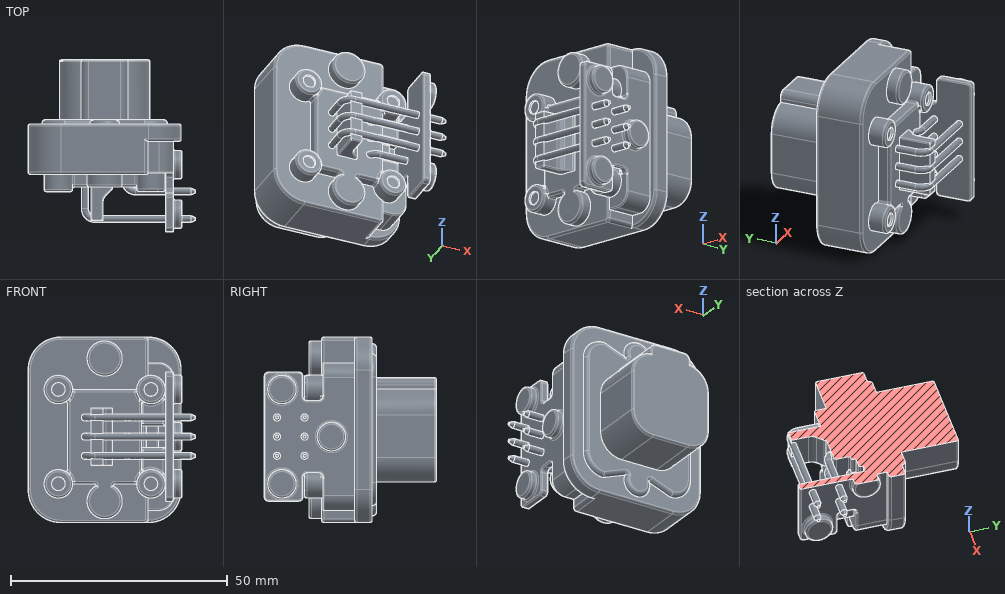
import cadquery as cq
import math


HOUSING_WIDTH = 35.3
HOUSING_HEIGHT = 42.8
HOUSING_DEPTH = 11.68
HOUSING_CORNER = 7.6
HOUSING_EDGE = 0.55
FLANGE_REAR_Y = 7.64
STEP_X = 10.0
STEP_CORNER = 0.87

PIN_CENTRE_Z = -1.57

SIDE_FACE_X = 15.87
SIDE_START_X = 5.0
SIDE_REAR_Y = 0.3
SIDE_HALF_HEIGHT = 17.0
SIDE_CORNER = 3.4
SIDE_EDGE = 0.3

PAD_REAR_Y = -2.9
PAD_HALF_WIDTH = 8.53
PAD_HALF_HEIGHT = 10.87
PAD_EDGE = 0.55
NECK_HALF_WIDTH = 1.97
NECK_CORNER = 0.45
PEG_Z = 16.44
PEG_RADIUS = 4.05
PEG_EDGE = 0.5

BUTTON_X = 10.67
BUTTON_Z = 10.87
BUTTON_RADIUS = 3.28
BUTTON_REAR_Y = -3.97
SIDE_BUTTON_SETBACK = 0.09
BUTTON_EDGE = 0.5
DIMPLE_RADIUS = 1.57
DIMPLE_DEPTH = 0.5
BUTTON_JOINT = 0.55
BUTTON_CORNER = 0.45

PLATE_THICKNESS = 1.9
PLATE_INNER_X = SIDE_FACE_X - PLATE_THICKNESS
PLATE_REAR_Y = -13.22
PLATE_FRONT_Y = -4.29
PLATE_HALF_HEIGHT = 14.9
PLATE_CORNER = 1.03
PLATE_EDGE = 0.28
PLATE_NECK_HALF_HEIGHT = 8.3
PLATE_FOOT_HALF_HEIGHT = 9.7

SHELF_HALF_HEIGHT = PLATE_NECK_HALF_HEIGHT + PLATE_CORNER
SHELF_JOINT = 0.45
SHELF_RELIEF = 0.57
SLOT_HALF_HEIGHT = 2.48
SLOT_EDGE = 0.6
SLOT_FIRST_STEP_X = 9.7
SLOT_SECOND_STEP_X = 12.45
SLOT_STEP_DEPTH = 1.0
SLOT_STEP_EDGE = 0.33

DISC_RADIUS = 3.28
DISC_END_X = 17.82
DISC_EDGE = 0.45
DISC_BASE_FLARE = 0.4
DISC_SINK = 0.5
PLATE_DISC_Y = -9.13
SIDE_DISC_Y = 2.28

OVERALL_WIDTH = 38.57
PIN_RADIUS = 0.81
PIN_PITCH = 4.42
PIN_BEND = 2.4
PIN_END_X = OVERALL_WIDTH - HOUSING_WIDTH / 2
PIN_TIP_LENGTH = 1.07
PIN_TIP_RADIUS = 0.35
OUTER_ROW_X = -4.57
OUTER_ROW_Y = -10.24
INNER_ROW_X = 4.75
INNER_ROW_Y = -3.9

GUIDE_LEFT_X = -3.16
GUIDE_RIGHT_X = -0.38
GUIDE_FOOT_X = 1.8
GUIDE_REAR_Y = -10.62
GUIDE_FOOT_DEPTH = 0.4
GUIDE_FOOT_ROUND = 0.5
GUIDE_BEND = 2.4
GUIDE_HALF_HEIGHT = 6.64
GUIDE_EDGE = 0.25

RIM_FRONT_Y = 12.7
RIM_HALF_WIDTH = 14.5
RIM_SIDE_Z = 12.2
RIM_SHOULDER = 5.3
RIM_WAIST_X = 3.2
RIM_LOBE_RADIUS = 3.43
SOCKET_FRONT_Y = 26.46
SOCKET_HALF_WIDTH = 10.43
SOCKET_HALF_HEIGHT = 12.05
SOCKET_SHOULDER = 6.0
SOCKET_SHOULDER_Z = 3.47
SOCKET_LOWER_CORNER = 5.63
SOCKET_EDGE = 0.45
KEY_HALF_WIDTH = 5.4
KEY_CORNER = 1.7

ARC_INSET = 1 - math.sqrt(0.5)
BURY = 1.0
SELECT_GAP = 0.1


def sketch_at(y):
    """Workplane facing -Y at the given Y, with local axes X and Z."""
    return cq.Workplane("XZ", origin=(0, y, 0))


def cylinder_y(x, z, radius, rear_y, front_y):
    return sketch_at(front_y).center(x, z).circle(radius).extrude(front_y - rear_y)


def box_around(x, z, half_size):
    """Selects whatever is centred near the given X and Z, at any Y."""
    return cq.selectors.BoxSelector(
        (x - half_size - SELECT_GAP, -HOUSING_HEIGHT, z - half_size - SELECT_GAP),
        (x + half_size + SELECT_GAP, HOUSING_HEIGHT, z + half_size + SELECT_GAP),
    )


def block(x_min, x_max, z_centre, half_height, rear_y, front_y):
    width = x_max - x_min
    plane = sketch_at(front_y).center((x_min + x_max) / 2, z_centre)
    return plane.rect(width, 2 * half_height).extrude(front_y - rear_y)


def make_housing():
    half_width = HOUSING_WIDTH / 2
    half_height = HOUSING_HEIGHT / 2
    flange = block(-half_width, half_width, 0, half_height, FLANGE_REAR_Y, HOUSING_DEPTH)
    flange = flange.edges("|Y").fillet(HOUSING_CORNER).faces("<Y or >Y").edges().fillet(HOUSING_EDGE)
    main = block(-half_width, STEP_X, 0, half_height, 0, HOUSING_DEPTH - HOUSING_EDGE)
    main = main.edges("|Y and <X").fillet(HOUSING_CORNER).edges("|Y and >X").fillet(STEP_CORNER)
    main = main.faces("<Y").edges().fillet(HOUSING_EDGE)
    side = block(
        SIDE_START_X, SIDE_FACE_X, PIN_CENTRE_Z, SIDE_HALF_HEIGHT, SIDE_REAR_Y, FLANGE_REAR_Y + HOUSING_EDGE
    )
    side = side.edges("|Y and >X").fillet(SIDE_CORNER).faces("<Y").edges().fillet(SIDE_EDGE)
    return flange.union(main).union(side)


def button_places():
    """X and Z of the four buttons."""
    return [(x, PIN_CENTRE_Z + dz) for x in (-BUTTON_X, BUTTON_X) for dz in (-BUTTON_Z, BUTTON_Z)]


def make_pad():
    """Raised pad whose outline runs smoothly into the four buttons and the neck."""
    pad = block(-PAD_HALF_WIDTH, PAD_HALF_WIDTH, PIN_CENTRE_Z, PAD_HALF_HEIGHT, PAD_REAR_Y, BURY)
    neck = block(-NECK_HALF_WIDTH, NECK_HALF_WIDTH, -PEG_Z / 2, PEG_Z / 2, PAD_REAR_Y, BURY)
    pad = pad.union(neck)
    pad_bottom = PIN_CENTRE_Z - PAD_HALF_HEIGHT
    neck_root = box_around(0, pad_bottom, NECK_HALF_WIDTH)
    pad = pad.edges("|Y").edges(neck_root).fillet(NECK_CORNER)
    for x, z in button_places():
        pad = pad.union(cylinder_y(x, z, BUTTON_RADIUS, PAD_REAR_Y, BURY))
        pad = pad.edges("|Y").edges(box_around(x, z, BUTTON_RADIUS)).fillet(BUTTON_CORNER)
    pad = pad.union(cylinder_y(0, -PEG_Z, PEG_RADIUS, PAD_REAR_Y, BURY))
    pad = pad.faces("<Y").edges().fillet(PAD_EDGE)
    upper_peg = cylinder_y(0, PEG_Z, PEG_RADIUS, PAD_REAR_Y, BURY)
    return pad.union(upper_peg.faces("<Y").edges().fillet(PEG_EDGE))


def button_flare(x, z, floor_y):
    """Concave ring that blends a button into a surface at floor_y."""
    outer = BUTTON_RADIUS + BUTTON_JOINT
    inset = BUTTON_JOINT * ARC_INSET
    profile = (
        cq.Workplane("XY")
        .moveTo(BUTTON_RADIUS / 2, floor_y)
        .lineTo(outer, floor_y)
        .threePointArc((BUTTON_RADIUS + inset, floor_y - inset), (BUTTON_RADIUS, floor_y - BUTTON_JOINT))
        .lineTo(BUTTON_RADIUS / 2, floor_y - BUTTON_JOINT)
        .close()
    )
    return profile.revolve(360, (0, 0, 0), (0, 1, 0)).translate((x, 0, z))


def make_buttons():
    """Buttons with a shallow dimple, blended into the pad and the shelf."""
    pad_top = block(
        -PAD_HALF_WIDTH + PAD_EDGE, PAD_HALF_WIDTH - PAD_EDGE,
        PIN_CENTRE_Z, PAD_HALF_HEIGHT - PAD_EDGE, BUTTON_REAR_Y, 0,
    )
    shelf_top = block(
        PAD_HALF_WIDTH, PLATE_INNER_X,
        PIN_CENTRE_Z, SHELF_HALF_HEIGHT, BUTTON_REAR_Y, SIDE_REAR_Y,
    )
    buttons = cq.Workplane()
    for x, z in button_places():
        rear_y = BUTTON_REAR_Y + (SIDE_BUTTON_SETBACK if x > 0 else 0)
        button = cylinder_y(x, z, BUTTON_RADIUS, rear_y, BURY)
        button = button.faces("<Y").edges().fillet(BUTTON_EDGE)
        dimple = cylinder_y(x, z, DIMPLE_RADIUS, rear_y, rear_y + DIMPLE_DEPTH)
        pad_joint = button_flare(x, z, PAD_REAR_Y).intersect(pad_top)
        button = button.union(pad_joint)
        if x > 0:
            button = button.union(button_flare(x, z, SIDE_REAR_Y).intersect(shelf_top))
        buttons = buttons.union(button.cut(dimple))
    return buttons


def cut_shelf(part):
    """Trim the housing flush with the side block beside the pad, with a rounded relief along the plate."""
    left = PAD_HALF_WIDTH
    right = PLATE_INNER_X
    floor = SIDE_REAR_Y
    joint_inset = SHELF_JOINT * ARC_INSET
    relief_inset = SHELF_RELIEF * ARC_INSET
    waste = (
        cq.Workplane("XY", origin=(0, 0, PIN_CENTRE_Z))
        .moveTo(left, floor - SHELF_JOINT)
        .threePointArc((left + joint_inset, floor - joint_inset), (left + SHELF_JOINT, floor))
        .lineTo(right - SHELF_RELIEF, floor)
        .threePointArc((right - relief_inset, floor + relief_inset), (right, floor + SHELF_RELIEF))
        .lineTo(right, floor - SHELF_JOINT)
        .close()
        .extrude(SHELF_HALF_HEIGHT, both=True)
    )
    return part.cut(waste)


def cut_slot(part):
    """Stepped slot across the shelf, with rounded mouth edges."""
    wall = SLOT_HALF_HEIGHT
    mouth = SLOT_HALF_HEIGHT + SLOT_EDGE
    floor = SIDE_REAR_Y
    tread_1 = floor + SLOT_EDGE
    tread_2 = tread_1 + SLOT_STEP_DEPTH
    tread_3 = tread_2 + SLOT_STEP_DEPTH
    mouth_inset = SLOT_EDGE * ARC_INSET
    opening = (
        cq.Workplane("YZ", origin=(PAD_HALF_WIDTH, 0, PIN_CENTRE_Z))
        .moveTo(tread_1, -wall)
        .threePointArc((floor + mouth_inset, -wall - mouth_inset), (floor, -mouth))
        .lineTo(floor - SHELF_JOINT, -mouth)
        .lineTo(floor - SHELF_JOINT, mouth)
        .lineTo(floor, mouth)
        .threePointArc((floor + mouth_inset, wall + mouth_inset), (tread_1, wall))
        .close()
        .extrude(PLATE_INNER_X - PAD_HALF_WIDTH)
    )
    step_inset = SLOT_STEP_EDGE * ARC_INSET
    step_1 = SLOT_FIRST_STEP_X
    step_2 = SLOT_SECOND_STEP_X
    stairs = (
        cq.Workplane("XY", origin=(0, 0, PIN_CENTRE_Z))
        .moveTo(step_1 - SLOT_STEP_EDGE, tread_1)
        .threePointArc((step_1 - step_inset, tread_1 + step_inset), (step_1, tread_1 + SLOT_STEP_EDGE))
        .lineTo(step_1, tread_2)
        .lineTo(step_2 - SLOT_STEP_EDGE, tread_2)
        .threePointArc((step_2 - step_inset, tread_2 + step_inset), (step_2, tread_2 + SLOT_STEP_EDGE))
        .lineTo(step_2, tread_3)
        .lineTo(PLATE_INNER_X, tread_3)
        .lineTo(PLATE_INNER_X, tread_1)
        .close()
        .extrude(SLOT_HALF_HEIGHT, both=True)
    )
    left = PAD_HALF_WIDTH
    joint_inset = SHELF_JOINT * ARC_INSET
    joint = (
        cq.Workplane("XY", origin=(0, 0, PIN_CENTRE_Z))
        .moveTo(left, tread_1 - SHELF_JOINT)
        .threePointArc((left + joint_inset, tread_1 - joint_inset), (left + SHELF_JOINT, tread_1))
        .lineTo(left, tread_1)
        .close()
        .extrude(SLOT_HALF_HEIGHT, both=True)
    )
    return part.cut(opening).cut(stairs).union(joint)


def plate_slab(rear_y, front_y, half_height):
    return block(PLATE_INNER_X, SIDE_FACE_X, PIN_CENTRE_Z, half_height, rear_y, front_y)


def make_plate():
    """Bracket plate standing on a neck that flares out where it meets the side block."""
    wide = plate_slab(PLATE_REAR_Y, PLATE_FRONT_Y, PLATE_HALF_HEIGHT).edges("|X").fillet(PLATE_CORNER)
    neck = plate_slab(PLATE_FRONT_Y, SIDE_REAR_Y, PLATE_NECK_HALF_HEIGHT)
    foot = plate_slab(SIDE_REAR_Y, SIDE_REAR_Y + BURY, PLATE_FOOT_HALF_HEIGHT)
    plate_middle_x = (PLATE_INNER_X + SIDE_FACE_X) / 2
    plate = wide.union(neck).union(foot)
    for side in (-1, 1):
        neck_side = box_around(plate_middle_x, PIN_CENTRE_Z + side * PLATE_NECK_HALF_HEIGHT, 0)
        plate = plate.edges("|X").edges(neck_side).fillet(PLATE_CORNER)
    return plate.faces("<X or >X").edges().fillet(PLATE_EDGE)


def make_disc(y, z, base_x):
    """Round disc facing +X with a rounded rim and a flared base."""
    flare = DISC_BASE_FLARE
    inset = flare * ARC_INSET
    outer_inset = DISC_EDGE * ARC_INSET
    profile = (
        cq.Workplane("XY")
        .moveTo(base_x - DISC_SINK, 0)
        .lineTo(DISC_END_X, 0)
        .lineTo(DISC_END_X, DISC_RADIUS - DISC_EDGE)
        .threePointArc(
            (DISC_END_X - outer_inset, DISC_RADIUS - outer_inset), (DISC_END_X - DISC_EDGE, DISC_RADIUS)
        )
        .lineTo(base_x + flare, DISC_RADIUS)
        .threePointArc((base_x + inset, DISC_RADIUS + inset), (base_x, DISC_RADIUS + flare))
        .lineTo(base_x - DISC_SINK, DISC_RADIUS + flare)
        .close()
    )
    return profile.revolve(360, (0, 0, 0), (1, 0, 0)).translate((0, y, z))


def make_discs():
    discs = make_disc(SIDE_DISC_Y, PIN_CENTRE_Z, SIDE_FACE_X)
    for side in (-1, 1):
        discs = discs.union(make_disc(PLATE_DISC_Y, PIN_CENTRE_Z + side * BUTTON_Z, SIDE_FACE_X))
    return discs


def make_pin(x, y, z):
    """Pin that leaves the housing along -Y at x, bends, and runs along +X at y to a tapered tip."""
    inset = PIN_BEND * ARC_INSET
    shank_end_x = PIN_END_X - PIN_TIP_LENGTH
    path = (
        cq.Workplane("XY", origin=(0, 0, z))
        .moveTo(x, 0)
        .lineTo(x, y + PIN_BEND)
        .threePointArc((x + inset, y + inset), (x + PIN_BEND, y))
        .lineTo(shank_end_x, y)
    )
    shank = cq.Workplane("XZ", origin=(x, 0, z)).circle(PIN_RADIUS).sweep(path)
    tip = cq.Solid.makeCone(
        PIN_RADIUS, PIN_TIP_RADIUS, PIN_TIP_LENGTH, cq.Vector(shank_end_x, y, z), cq.Vector(1, 0, 0)
    )
    return shank.union(cq.Workplane(tip))


def make_pins():
    pins = cq.Workplane()
    for x, y in ((OUTER_ROW_X, OUTER_ROW_Y), (INNER_ROW_X, INNER_ROW_Y)):
        for row in (-1, 0, 1):
            pins = pins.union(make_pin(x, y, PIN_CENTRE_Z + row * PIN_PITCH))
    return pins


def make_guide():
    """Wall that carries the outer pins, braced by a 45 degree gusset."""
    foot_y = PAD_REAR_Y - GUIDE_FOOT_DEPTH
    gusset_y = foot_y - (GUIDE_FOOT_X - GUIDE_RIGHT_X)
    guide = (
        cq.Workplane("XY", origin=(0, 0, PIN_CENTRE_Z))
        .moveTo(GUIDE_LEFT_X, 0)
        .lineTo(GUIDE_LEFT_X, GUIDE_REAR_Y)
        .lineTo(GUIDE_RIGHT_X, GUIDE_REAR_Y)
        .lineTo(GUIDE_RIGHT_X, gusset_y)
        .lineTo(GUIDE_FOOT_X, foot_y)
        .lineTo(GUIDE_FOOT_X, 0)
        .close()
        .extrude(GUIDE_HALF_HEIGHT, both=True)
    )
    bend = cq.NearestToPointSelector((GUIDE_RIGHT_X, gusset_y, PIN_CENTRE_Z))
    guide = guide.edges(bend).fillet(GUIDE_BEND)
    foot = cq.NearestToPointSelector((GUIDE_FOOT_X, foot_y, PIN_CENTRE_Z))
    guide = guide.edges(foot).fillet(GUIDE_FOOT_ROUND)
    return guide.faces("<Z or >Z").edges().fillet(GUIDE_EDGE)


def make_rim():
    """Seal rim: quarter-round shoulders and a round lobe in front of each peg."""
    shoulder_x = RIM_HALF_WIDTH - RIM_SHOULDER
    shoulder_z = RIM_SIDE_Z + RIM_SHOULDER
    arc_x = shoulder_x + RIM_SHOULDER * math.sqrt(0.5)
    arc_z = RIM_SIDE_Z + RIM_SHOULDER * math.sqrt(0.5)
    waist_z = PEG_Z - math.sqrt(RIM_LOBE_RADIUS**2 - RIM_WAIST_X**2)
    lobe_z = PEG_Z + RIM_LOBE_RADIUS
    outline = sketch_at(RIM_FRONT_Y).moveTo(RIM_HALF_WIDTH, -RIM_SIDE_Z)
    for side in (1, -1):
        outline = (
            outline.lineTo(side * RIM_HALF_WIDTH, side * RIM_SIDE_Z)
            .threePointArc((side * arc_x, side * arc_z), (side * shoulder_x, side * shoulder_z))
            .lineTo(side * RIM_WAIST_X, side * waist_z)
            .threePointArc((0, side * lobe_z), (-side * RIM_WAIST_X, side * waist_z))
            .lineTo(-side * shoulder_x, side * shoulder_z)
            .threePointArc((-side * arc_x, side * arc_z), (-side * RIM_HALF_WIDTH, side * RIM_SIDE_Z))
        )
    rim = outline.close().extrude(RIM_FRONT_Y - HOUSING_DEPTH + BURY)
    return rim.faces(">Y").edges().fillet(RIM_FRONT_Y - HOUSING_DEPTH)


def make_socket():
    """Mating socket with rounded shoulders and a raised key on its +Z side."""
    depth = SOCKET_FRONT_Y - HOUSING_DEPTH + BURY
    half = SOCKET_HALF_WIDTH
    arc_centre_x = half - SOCKET_SHOULDER
    arc_drop_x = KEY_HALF_WIDTH - arc_centre_x
    shoulder_end_z = SOCKET_SHOULDER_Z + math.sqrt(SOCKET_SHOULDER**2 - arc_drop_x**2)
    arc_x = arc_centre_x + SOCKET_SHOULDER * math.sqrt(0.5)
    arc_z = SOCKET_SHOULDER_Z + SOCKET_SHOULDER * math.sqrt(0.5)
    outline = (
        sketch_at(SOCKET_FRONT_Y)
        .moveTo(-half, -SOCKET_HALF_HEIGHT)
        .lineTo(half, -SOCKET_HALF_HEIGHT)
        .lineTo(half, SOCKET_SHOULDER_Z)
        .threePointArc((arc_x, arc_z), (KEY_HALF_WIDTH, shoulder_end_z))
        .lineTo(KEY_HALF_WIDTH, SOCKET_HALF_HEIGHT)
        .lineTo(-KEY_HALF_WIDTH, SOCKET_HALF_HEIGHT)
        .lineTo(-KEY_HALF_WIDTH, shoulder_end_z)
        .threePointArc((-arc_x, arc_z), (-half, SOCKET_SHOULDER_Z))
        .close()
    )
    socket = outline.extrude(depth)
    socket = socket.edges("|Y and <Z").fillet(SOCKET_LOWER_CORNER).edges("|Y and >Z").fillet(KEY_CORNER)
    return socket.faces(">Y").edges().fillet(SOCKET_EDGE)


housing = make_housing().union(make_pad())
housing = cut_slot(cut_shelf(housing))
result = housing
for feature in (
    make_plate(), make_buttons(), make_discs(), make_guide(), make_pins(), make_rim(), make_socket()
):
    result = result.union(feature)